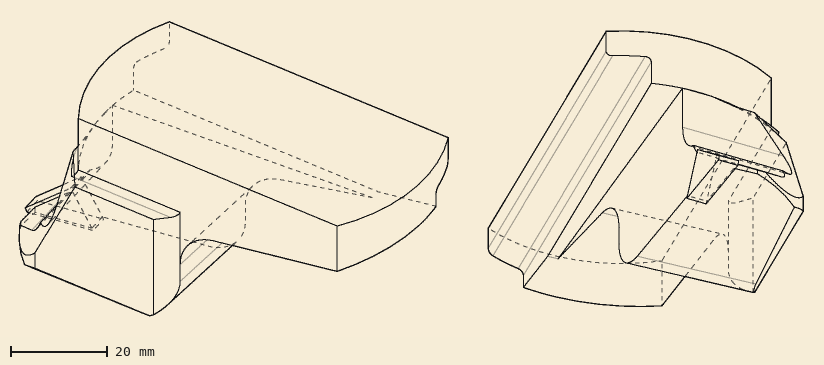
import cadquery as cq
import math


length = 95.3
disc_radius = 38.5
disc_x = length - disc_radius
disc_y = -16.5
plate_front_y = -37.5
plate_depth = 13.5
step_y = -8.9
step_depth = 6.6
step_radius = 1.2

plate_end_depth = 10.9
underside_angle = math.radians(10)
head_back_x = 50.0
back_radius = 10.0

head_front_y = -41.5
ledge_depth = 14.6
ledge_radius = 1.5
ledge_reach = 1.4
bottom_angle = math.radians(5)
nose_x = 2.7
nose_z = -45.0
nose_arc_start = (nose_x, -26.2)
nose_arc_middle = (8.7, -35.1)
nose_arc_end = (16.4, head_front_y)
bottom_chamfer = 3.2
face_plane_point = (26.4, head_front_y, -ledge_depth)
face_plane_normal = (-0.76, -0.55, 0.35)
face_plane_x_dir = (0.55, -0.76, 0.0)

tilt = math.radians(4)
side_y = -16.8
front_face_x = 18.3
groove_radius = 10.0
groove_top = (front_face_x, -23.9)
groove_ridge = (12.9, -32.7)
groove_end = (9.7, -37.2)
seat_angle = math.radians(41)

insert_width = 4.4
insert_profile = [(0.0, -44.7), (0.4, -45.7), (16.2, -44.3), (10.9, -35.3)]

big = 3 * length
tilted = cq.Plane(
    origin=(0, side_y, 0),
    xDir=(math.cos(tilt), math.sin(tilt), 0),
    normal=(math.sin(tilt), -math.cos(tilt), 0),
)


def make_side_outline():
    """Full-width solid with the sloped underside and the rounded rear of the head."""
    corner_z = -plate_end_depth - (length - head_back_x) * math.tan(underside_angle)
    bottom_corner_z = nose_z + (head_back_x - nose_x) * math.tan(bottom_angle)
    side = (
        cq.Workplane("XZ")
        .moveTo(0, 0)
        .lineTo(length, 0)
        .lineTo(length, -plate_end_depth)
        .lineTo(head_back_x, corner_z)
        .lineTo(head_back_x, bottom_corner_z)
        .lineTo(0, nose_z - nose_x * math.tan(bottom_angle))
        .close()
        .extrude(-head_front_y)
    )
    back_corners = cq.selectors.BoxSelector(
        (head_back_x - 1, head_front_y - 1, bottom_corner_z - 1),
        (head_back_x + 1, 1, corner_z + 1),
    )
    return side.edges("|Y").edges(back_corners).fillet(back_radius)


def make_plate(side_outline):
    """Disc with two flat sides and a relieved rear strip."""
    section = (
        cq.Workplane("YZ")
        .moveTo(0, 0)
        .lineTo(plate_front_y, 0)
        .lineTo(plate_front_y, -plate_depth)
        .lineTo(step_y, -plate_depth)
        .lineTo(step_y, -step_depth)
        .lineTo(0, -step_depth)
        .close()
        .extrude(length)
    )
    step_edges = cq.selectors.BoxSelector((-1, step_y - 1, -step_depth - 1), (length + 1, 1, -step_depth + 1))
    section = section.edges("|X").edges(step_edges).fillet(step_radius)
    disc = cq.Workplane("XY").center(disc_x, disc_y).circle(disc_radius).extrude(-plate_depth)
    return section.intersect(disc).intersect(side_outline)


def make_plan():
    """Plan outline of the head, with the curved nose and the bevelled back corner."""
    rear_y = side_y + length * math.tan(tilt)
    bevel = plate_front_y - head_front_y
    return (
        cq.Workplane("XY")
        .moveTo(length, rear_y)
        .lineTo(nose_x, side_y + nose_x * math.tan(tilt))
        .lineTo(*nose_arc_start)
        .threePointArc(nose_arc_middle, nose_arc_end)
        .lineTo(head_back_x - bevel, head_front_y)
        .lineTo(head_back_x, plate_front_y)
        .lineTo(length, plate_front_y)
        .close()
        .extrude(nose_z * 2)
    )


def make_front_form():
    """Everything behind the front face, two chip grooves and insert seat."""
    seat_z = groove_end[1] - groove_end[0] * math.tan(seat_angle)
    return (
        cq.Workplane(tilted)
        .moveTo(front_face_x, 0)
        .lineTo(*groove_top)
        .radiusArc(groove_ridge, groove_radius)
        .radiusArc(groove_end, groove_radius)
        .lineTo(0, seat_z)
        .lineTo(0, -length)
        .lineTo(big, -length)
        .lineTo(big, 0)
        .close()
        .extrude(length, both=True)
    )


def make_ledge_cut():
    """Space above the head ledge, leaving a concave blend around the plate."""
    slab = cq.Workplane("XY").workplane(offset=-ledge_depth).rect(big, big).extrude(ledge_depth)
    round_core = (
        cq.Workplane("XZ")
        .lineTo(disc_radius, 0)
        .lineTo(disc_radius, -plate_depth)
        .radiusArc((disc_radius + ledge_reach, -ledge_depth), -ledge_radius)
        .lineTo(0, -ledge_depth)
        .close()
        .revolve(360, (0, 0, 0), (0, 1, 0))
        .translate((disc_x, disc_y, 0))
    )
    straight_core = (
        cq.Workplane("YZ")
        .lineTo(plate_front_y, 0)
        .lineTo(plate_front_y, -plate_depth)
        .radiusArc((plate_front_y - ledge_reach, -ledge_depth), ledge_radius)
        .lineTo(0, -ledge_depth)
        .close()
        .extrude(length)
    )
    return slab.cut(round_core.intersect(straight_core))


def make_bottom_chamfer():
    """Prism removed along the lower front edge of the head."""
    level = nose_z + nose_arc_end[0] * math.tan(bottom_angle)
    reach = 2 * bottom_chamfer
    return (
        cq.Workplane("YZ")
        .moveTo(head_front_y, level + bottom_chamfer)
        .lineTo(head_front_y + reach, level + bottom_chamfer - reach)
        .lineTo(head_front_y, level + bottom_chamfer - reach)
        .close()
        .extrude(length)
    )


def make_head(side_outline):
    slanted_plane = cq.Plane(origin=face_plane_point, xDir=face_plane_x_dir, normal=face_plane_normal)
    slanted_cut = cq.Workplane(slanted_plane).rect(big, big).extrude(big)
    below_ledge = cq.Workplane("XY").workplane(offset=-ledge_depth).rect(big, big).extrude(-length)
    head = side_outline.intersect(make_plan()).intersect(make_front_form())
    return head.cut(slanted_cut.intersect(below_ledge)).cut(make_ledge_cut()).cut(make_bottom_chamfer())


def make_insert():
    """Wedge-shaped blade flush with the tilted rear side of the head."""
    return cq.Workplane(tilted).polyline(insert_profile).close().extrude(insert_width)


insert = make_insert()
outline = make_side_outline()
holder = make_plate(outline).union(make_head(outline)).cut(insert)

result = cq.Compound.makeCompound([holder.val(), insert.val()])